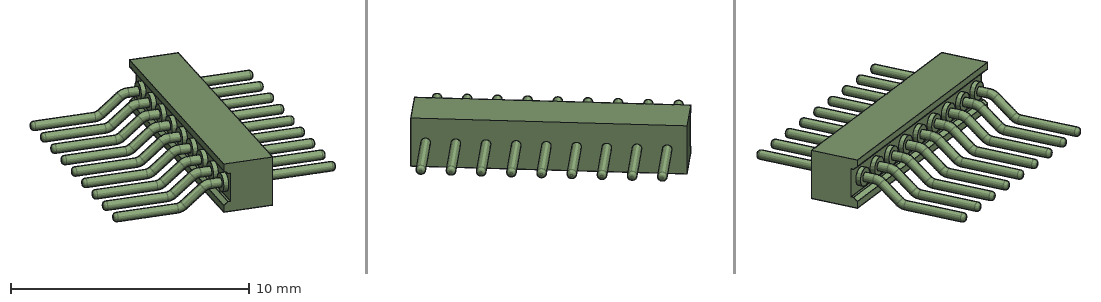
import cadquery as cq
import math

body_length = 11.63
body_depth = 2.19
body_height = 2.21
lip_height = 0.31
channel_depth = 0.3
bevel_depth = 0.19
bevel_height = 0.15

pin_count = 9
pin_row_length = 10.16
pin_pitch = pin_row_length / (pin_count - 1)
first_pin_x = 0.84
pin_diameter = 0.41
tip_radius = 0.15
back_reach = 3.0
front_reach = 4.71
bend_start = 0.4
bend_radius = 0.5
bend_angle = math.radians(38.5)

collar_diameter = 0.81
collar_thickness = 0.22

pin_z = body_height / 2
tail_z = pin_diameter / 2
back_y = body_depth + back_reach


def make_housing():
    """Channelled bar, from its channel profile in the YZ plane."""
    lip_top = lip_height + bevel_height
    return (
        cq.Workplane("YZ")
        .moveTo(0, 0)
        .lineTo(body_depth, 0)
        .lineTo(body_depth, body_height)
        .lineTo(0, body_height)
        .lineTo(0, body_height - lip_height)
        .lineTo(bevel_depth, body_height - lip_top)
        .lineTo(channel_depth, body_height - lip_top)
        .lineTo(channel_depth, lip_top)
        .lineTo(bevel_depth, lip_top)
        .lineTo(0, lip_height)
        .close()
        .extrude(body_length)
    )


def bend_offset(angle):
    """Advance along the pin and sideways shift after turning through an angle."""
    return bend_radius * math.sin(angle), bend_radius * (1 - math.cos(angle))


def make_pin_path():
    """Pin axis in the YZ plane: straight, bent down, sloped, bent level, straight."""
    mid_run, mid_drop = bend_offset(bend_angle / 2)
    bend_run, bend_drop = bend_offset(bend_angle)
    slope_drop = pin_z - tail_z - 2 * bend_drop
    slope_run = slope_drop / math.tan(bend_angle)
    first_bend_y = -bend_start
    second_bend_y = first_bend_y - 2 * bend_run - slope_run
    return (
        cq.Workplane("YZ")
        .moveTo(back_y, pin_z)
        .lineTo(first_bend_y, pin_z)
        .threePointArc(
            (first_bend_y - mid_run, pin_z - mid_drop),
            (first_bend_y - bend_run, pin_z - bend_drop),
        )
        .lineTo(second_bend_y + bend_run, tail_z + bend_drop)
        .threePointArc((second_bend_y + mid_run, tail_z + mid_drop), (second_bend_y, tail_z))
        .lineTo(-front_reach, tail_z)
    )


def make_pin():
    """One bent pin with rounded ends and its collar, at X = 0."""
    wire = (
        cq.Workplane("XZ", origin=(0, back_y, pin_z))
        .circle(pin_diameter / 2)
        .sweep(make_pin_path())
    )
    wire = wire.faces(">Y or <Y").edges().fillet(tip_radius)
    collar = (
        cq.Workplane("XZ", origin=(0, channel_depth, pin_z))
        .circle(collar_diameter / 2)
        .extrude(collar_thickness)
    )
    return wire.union(collar)


result = make_housing()
pin = make_pin()
for index in range(pin_count):
    result = result.union(pin.translate((first_pin_x + index * pin_pitch, 0, 0)))